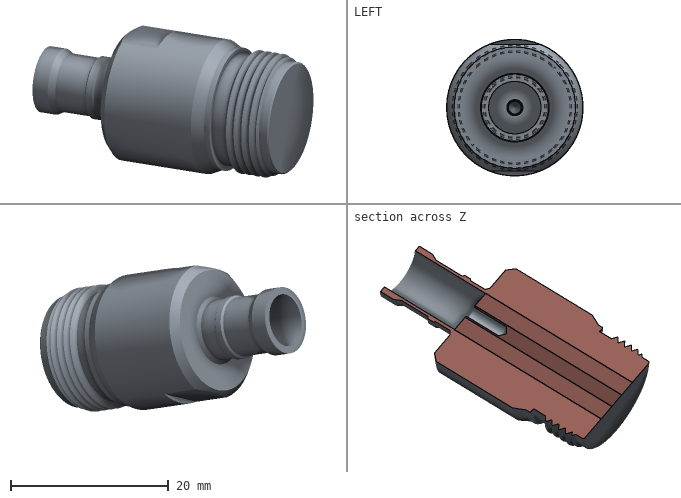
import cadquery as cq

LENGTH = 34.0

TIP_RADIUS = 4.25
TIP_LENGTH = 2.1
STEM_RADIUS = 3.77
TIP_TAPER_END = 3.0
RING_RADIUS = 4.05
RING_START = 7.07
RING_END = 8.35
RING_CHAMFER = 0.2
SHOULDER_STEM_RADIUS = 3.85
FLARE_START = 10.57
FLARE_RADIUS = 4.35

BARREL_START = 10.98
BARREL_RADIUS = 8.67
BARREL_CHAMFER = 0.95
BARREL_END = 23.9
COLLAR_START = 25.43
COLLAR_END = 26.15
COLLAR_RADIUS = 7.92

FLAT_HEIGHT = 8.02
FLAT_END = 16.9

NECK_RADIUS = 7.2
END_CHAMFER = 0.17
THREAD_START = 27.95
THREAD_PITCH = 1.05
THREAD_CREST_RADIUS = 7.95
FULL_THREADS = 4
LAST_CREST_RADIUS = 7.65
LAST_CREST_RISE = 0.3
LAST_CREST_WIDTH = 0.58

BORE_RADIUS = 3.33
INSULATOR_START = BARREL_START
CONTACT_RADIUS = 1.02
SOCKET_RADIUS = 0.8
SOCKET_DEPTH = 5.1
SOCKET_TIP_DEPTH = 0.6
MOUTH_RADIUS = 0.95
MOUTH_TAPER_DEPTH = MOUTH_RADIUS - SOCKET_RADIUS


def revolve_about_x(points):
    """Turn a closed (x, radius) outline about the X axis."""
    return cq.Workplane("XY").polyline(points).close().revolve(360, (0, 0, 0), (1, 0, 0))


def thread_points():
    """V-shaped thread ridges, ending in one lower and narrower ridge."""
    points = [(THREAD_START, NECK_RADIUS)]
    for ridge in range(FULL_THREADS):
        ridge_start = THREAD_START + ridge * THREAD_PITCH
        points.append((ridge_start + THREAD_PITCH / 2, THREAD_CREST_RADIUS))
        points.append((ridge_start + THREAD_PITCH, NECK_RADIUS))
    last_start = THREAD_START + FULL_THREADS * THREAD_PITCH
    points.append((last_start + LAST_CREST_RISE, LAST_CREST_RADIUS))
    points.append((last_start + LAST_CREST_WIDTH, NECK_RADIUS))
    return points


def make_shell():
    """Outer shell with its through bore and two wrench flats."""
    plug_points = [
        (0, BORE_RADIUS),
        (0, TIP_RADIUS),
        (TIP_LENGTH, TIP_RADIUS),
        (TIP_TAPER_END, STEM_RADIUS),
        (RING_START, STEM_RADIUS),
        (RING_START + RING_CHAMFER, RING_RADIUS),
        (RING_END - RING_CHAMFER, RING_RADIUS),
        (RING_END, SHOULDER_STEM_RADIUS),
        (FLARE_START, SHOULDER_STEM_RADIUS),
        (BARREL_START, FLARE_RADIUS),
    ]
    barrel_points = [
        (BARREL_START, BARREL_RADIUS - BARREL_CHAMFER),
        (BARREL_START + BARREL_CHAMFER, BARREL_RADIUS),
        (BARREL_END, BARREL_RADIUS),
        (COLLAR_START, COLLAR_RADIUS),
        (COLLAR_END, COLLAR_RADIUS),
        (COLLAR_END, NECK_RADIUS),
    ]
    end_points = [
        (LENGTH - END_CHAMFER, NECK_RADIUS),
        (LENGTH, NECK_RADIUS - END_CHAMFER),
        (LENGTH, BORE_RADIUS),
    ]
    shell = revolve_about_x(plug_points + barrel_points + thread_points() + end_points)

    flat_length = FLAT_END - BARREL_START
    flat_depth = BARREL_RADIUS - FLAT_HEIGHT
    for side in (1, -1):
        flat_cutter = cq.Workplane("XY").box(flat_length, 2 * BARREL_RADIUS, flat_depth)
        flat_middle = (BARREL_START + flat_length / 2, 0, side * (FLAT_HEIGHT + flat_depth / 2))
        shell = shell.cut(flat_cutter.translate(flat_middle))
    return shell


def make_insulator():
    """Sleeve that fills the bore around the contact."""
    return revolve_about_x([
        (INSULATOR_START, CONTACT_RADIUS),
        (INSULATOR_START, BORE_RADIUS),
        (LENGTH, BORE_RADIUS),
        (LENGTH, CONTACT_RADIUS),
    ])


def make_contact():
    """Centre contact with a blind socket, tapered at its mouth and ending in a drill point."""
    socket_floor = INSULATOR_START + SOCKET_DEPTH
    return revolve_about_x([
        (INSULATOR_START + MOUTH_TAPER_DEPTH, SOCKET_RADIUS),
        (INSULATOR_START, MOUTH_RADIUS),
        (INSULATOR_START, CONTACT_RADIUS),
        (LENGTH, CONTACT_RADIUS),
        (LENGTH, 0),
        (socket_floor + SOCKET_TIP_DEPTH, 0),
        (socket_floor, SOCKET_RADIUS),
    ])


shell = make_shell()
insulator = make_insulator()
contact = make_contact()

result = cq.Compound.makeCompound([shell.val(), insulator.val(), contact.val()])